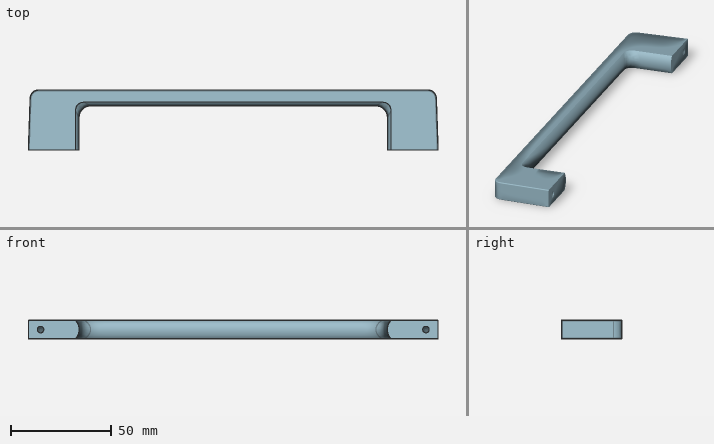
import cadquery as cq
import math

length = 204.0
depth = 30.0
thickness = 9.4

side_lean = 1.0
outer_corner_radius = 4.3
edge_rounding = 0.5

leg_width = 25.3
grip_depth = 8.0
wall_bulge = 1.8
inner_corner_radius = 5.7

hole_inset = 6.1
hole_diameter = 3.3
hole_depth = 12.2
drill_tip_angle = 118.0

half_length = length / 2
half_thickness = thickness / 2
crest_x = half_length - leg_width
crest_y = depth - grip_depth


def make_blank():
    """Solid plate with leaning sides, rounded back corners and softened edges."""
    outline = [
        (-half_length, 0),
        (half_length, 0),
        (half_length - side_lean, depth),
        (-half_length + side_lean, depth),
    ]
    plate = cq.Workplane("XY").polyline(outline).close().extrude(half_thickness, both=True)
    plate = plate.edges("|Z and >Y").fillet(outer_corner_radius)
    return plate.faces("|Z").edges("not <Y").fillet(edge_rounding)


def make_opening():
    """Cutter whose walls are hollow arcs, leaving convex legs and grip."""
    leg_tool = (
        cq.Workplane("XZ")
        .moveTo(-crest_x - wall_bulge, -half_thickness)
        .threePointArc((-crest_x, 0), (-crest_x - wall_bulge, half_thickness))
        .lineTo(crest_x + wall_bulge, half_thickness)
        .threePointArc((crest_x, 0), (crest_x + wall_bulge, -half_thickness))
        .close()
        .extrude(-depth)
    )
    grip_tool = (
        cq.Workplane("YZ")
        .moveTo(0, -half_thickness)
        .lineTo(crest_y + wall_bulge, -half_thickness)
        .threePointArc((crest_y, 0), (crest_y + wall_bulge, half_thickness))
        .lineTo(0, half_thickness)
        .close()
        .extrude(half_length, both=True)
    )
    return leg_tool.intersect(grip_tool)


def make_screw_hole(x):
    """Blind hole with a conical drill tip, entering from the foot."""
    radius = hole_diameter / 2
    tip = radius / math.tan(math.radians(drill_tip_angle / 2))
    profile = [(0, 0), (radius, 0), (radius, hole_depth), (0, hole_depth + tip)]
    hole = cq.Workplane("XY").polyline(profile).close().revolve(360, (0, 0), (0, 1))
    return hole.translate((x, 0, 0))


def round_inner_corners(handle):
    """Rolling-ball fillets along the two seams between the legs and the grip."""
    seam_zone = cq.selectors.BoxSelector(
        (-half_length, crest_y, -half_thickness),
        (half_length, crest_y + wall_bulge, half_thickness),
    )
    seams = handle.edges(seam_zone).edges("not(#Z or #Y)")
    return seams.fillet(inner_corner_radius)


result = round_inner_corners(make_blank().cut(make_opening()))
for side in (-1, 1):
    result = result.cut(make_screw_hole(side * (half_length - hole_inset)))